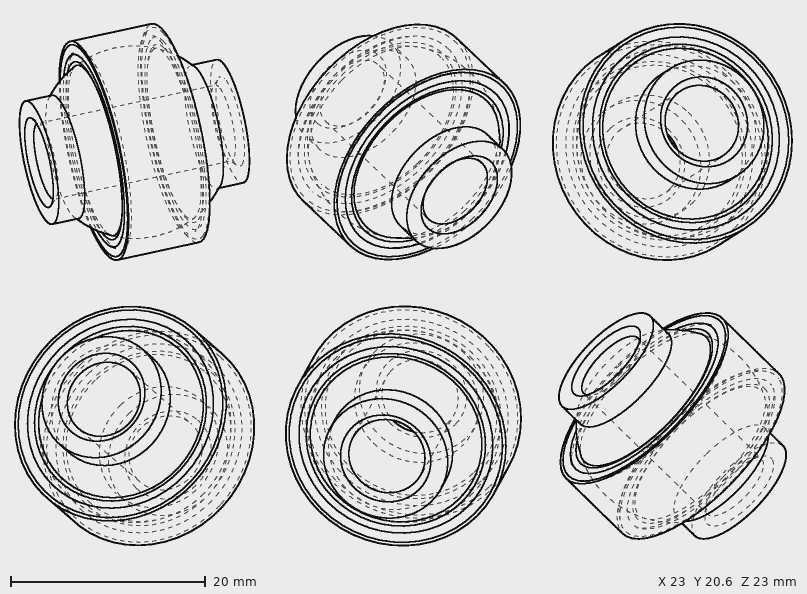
import cadquery as cq
import math


housing_radius = 11.5
housing_width = 8.8

groove_outer_radius = 11.14
groove_inner_radius = 10.12
groove_bottom_round = 0.35
groove_half_angle = math.radians(30)

mouth_radius = 9.37
mouth_slope = math.radians(20)

ball_radius = 9.92
ball_length = 20.65
collar_radius = 6.5
bore_radius = 3.98
bore_chamfer = 0.74

housing_half = housing_width / 2
ball_half = ball_length / 2


def ball_height(radius):
    """Axial distance from the centre to the sphere at a given radius."""
    return math.sqrt(ball_radius**2 - radius**2)


def revolve_about_y(profile):
    return profile.close().revolve(360, (0, 0, 0), (0, 1, 0))


def make_groove():
    """Ring cutter for the staking groove in the +Y face."""
    middle_radius = (groove_outer_radius + groove_inner_radius) / 2
    half_width = (groove_outer_radius - groove_inner_radius) / 2
    tangent_offset = groove_bottom_round * math.cos(groove_half_angle)
    wall_depth = (half_width - tangent_offset) / math.tan(groove_half_angle)
    bottom_depth = wall_depth + groove_bottom_round * (1 - math.sin(groove_half_angle))
    profile = (
        cq.Workplane("XY")
        .moveTo(groove_inner_radius, housing_half)
        .lineTo(middle_radius - tangent_offset, housing_half - wall_depth)
        .threePointArc(
            (middle_radius, housing_half - bottom_depth),
            (middle_radius + tangent_offset, housing_half - wall_depth),
        )
        .lineTo(groove_outer_radius, housing_half)
    )
    return revolve_about_y(profile)


def make_housing():
    """Ring with a spherical seat, chamfered mouths and a groove in each face."""
    slope_cos = math.cos(mouth_slope)
    slope_sin = math.sin(mouth_slope)
    along = mouth_radius * slope_cos + housing_half * slope_sin
    edge_distance_squared = mouth_radius**2 + housing_half**2
    slope_length = along - math.sqrt(along**2 - edge_distance_squared + ball_radius**2)
    seat_radius = mouth_radius - slope_length * slope_cos
    seat_height = housing_half - slope_length * slope_sin
    profile = (
        cq.Workplane("XY")
        .moveTo(housing_radius, -housing_half)
        .lineTo(housing_radius, housing_half)
        .lineTo(mouth_radius, housing_half)
        .lineTo(seat_radius, seat_height)
        .threePointArc((ball_radius, 0), (seat_radius, -seat_height))
        .lineTo(mouth_radius, -housing_half)
    )
    groove = make_groove()
    return revolve_about_y(profile).cut(groove).cut(groove.mirror("XZ"))


def make_ball():
    """Sphere and collars in one piece, with a chamfered through bore."""
    collar_start = ball_height(collar_radius)
    chamfer_start = ball_half - bore_chamfer
    profile = (
        cq.Workplane("XY")
        .moveTo(bore_radius, -chamfer_start)
        .lineTo(bore_radius, chamfer_start)
        .lineTo(bore_radius + bore_chamfer, ball_half)
        .lineTo(collar_radius, ball_half)
        .lineTo(collar_radius, collar_start)
        .threePointArc((ball_radius, 0), (collar_radius, -collar_start))
        .lineTo(collar_radius, -ball_half)
        .lineTo(bore_radius + bore_chamfer, -ball_half)
    )
    return revolve_about_y(profile)


housing = make_housing()
ball = make_ball()
result = cq.Compound.makeCompound([housing.val(), ball.val()])